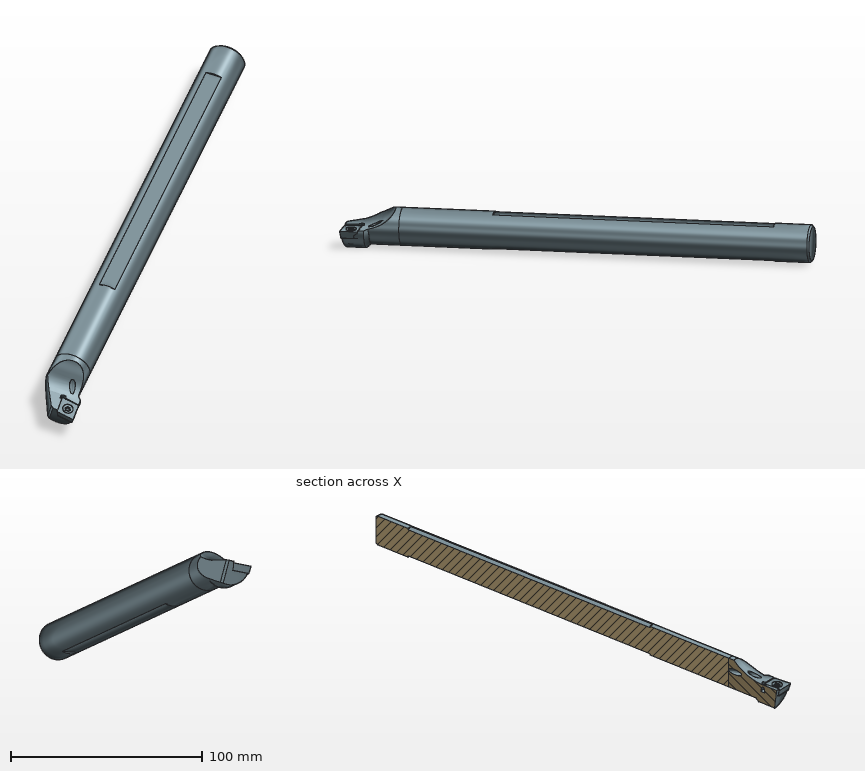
import cadquery as cq
import math

shank_diameter = 20.0
shank_radius = shank_diameter / 2
overall_length = 250.12
head_length = 31.1
shank_length = overall_length - head_length
rear_chamfer = 1.0

flat_spacing = 18.0
flat_length = 150.0
flat_rear_margin = 20.0

tip_lean = 8.5
overhang = 13.03

insert_inscribed = 9.525
insert_thickness = 3.97
insert_corner_angle = 80.0
insert_clearance = 7.0
insert_nose_radius = 0.4
nose_direction = -45.0
insert_approach = 5.0
insert_top = 0.4
insert_hole = 4.4

screw_head = 5.5
screw_thread = 4.0
screw_recess = 0.3
screw_cone_depth = 1.6
screw_length = 7.5
socket_core = 2.2
socket_lobe = 0.8
socket_depth = 1.2
socket_lobes = 6

bulge_x = 2.0
bulge_z = -1.66
bulge_length = 15.0
bulge_chamfer = 2.3

land_top = 1.4
land_lean = 11.0
scoop_radius = 25.0
scoop_yaw = 7.0
scoop_start_y = 11.1
scoop_start_angle = 5.5
scoop_end_angle = 57.0
land_end_x = 5.5

relief_angle = 29.3
relief_front_x = -0.1
bevel_width = 0.9
face_setback = 0.35
corner_relief_diameter = 3.0

coolant_diameter = 3.0
coolant_overrun = 1.3
coolant_mouth = (5.4, 17.8, 1.9)

cut_size = 60.0

half_corner = math.radians(insert_corner_angle / 2)
inscribed_radius = insert_inscribed / 2
half_long = inscribed_radius / math.sin(half_corner)
half_short = inscribed_radius / math.cos(half_corner)
nose_reach = (inscribed_radius - insert_nose_radius) / math.sin(half_corner)
nose_centre = nose_reach * math.cos(math.radians(nose_direction))
nose_offset = nose_centre + insert_nose_radius
lean = math.radians(tip_lean)
front_corner_y = face_setback + (overhang - relief_front_x) * math.tan(math.radians(insert_approach))
insert_x = (overhang - insert_top * math.sin(lean)) / math.cos(lean) - nose_offset
insert_y = nose_offset


def lean_over(shape, angle=tip_lean):
    """Lean a shape about the Y axis so that its +X side drops."""
    return shape.rotate((0, 0, 0), (0, 1, 0), angle)


def cylinder_along_y(diameter, length, x=0.0, y=0.0, z=0.0):
    plane = cq.Plane(origin=(x, y, z), xDir=(1, 0, 0), normal=(0, 1, 0))
    return cq.Workplane(plane).circle(diameter / 2).extrude(length)


def upright(diameter, bottom, height, x=insert_x, y=insert_y):
    return cq.Workplane("XY", origin=(x, y, bottom)).circle(diameter / 2).extrude(height)


def insert_blank():
    """Insert without its hole, standing straight; the acute nose points to +X and -Y."""
    corners = [(half_long, 0), (0, half_short), (-half_long, 0), (0, -half_short)]
    blank = cq.Workplane("XY").polyline(corners).close()
    blank = blank.extrude(-insert_thickness, taper=insert_clearance)
    blank = blank.faces("not |Z").edges("not (>Z or <Z)").fillet(insert_nose_radius)
    return blank.rotate((0, 0, 0), (0, 0, 1), nose_direction).translate((insert_x, insert_y, insert_top))


def screw_blank():
    """Screw without its socket: a conical head on a plain shaft."""
    top = insert_top - screw_recess
    cone_end = top - screw_cone_depth
    outline = [
        (0, top),
        (screw_head / 2, top),
        (screw_thread / 2, cone_end),
        (screw_thread / 2, top - screw_length),
        (0, top - screw_length),
    ]
    return (
        cq.Workplane("XZ")
        .polyline(outline)
        .close()
        .revolve(360, (0, 0, 0), (0, 1, 0))
        .translate((insert_x, insert_y, 0))
    )


def make_shank():
    shank = cylinder_along_y(shank_diameter, shank_length, y=head_length)
    shank = shank.faces(">Y").chamfer(rear_chamfer)
    flat_y = overall_length - flat_rear_margin - flat_length / 2
    for side in (1, -1):
        slab = cq.Workplane("XY").box(shank_diameter, flat_length, shank_radius)
        shank = shank.cut(slab.translate((0, flat_y, side * (flat_spacing + shank_radius) / 2)))
    return shank


def land_and_scoop_cutter(start_angle, first_x, last_x):
    """Space above the flat land and above the concave scoop that climbs from it to the shank.

    The land meets the scoop arc where the arc has turned by `start_angle` from its lowest point.
    """
    lowest_y = scoop_start_y - scoop_radius * math.sin(math.radians(scoop_start_angle))
    centre_z = land_top + scoop_radius * math.cos(math.radians(scoop_start_angle))

    def on_arc(angle):
        turn = math.radians(angle)
        return (lowest_y + scoop_radius * math.sin(turn), centre_z - scoop_radius * math.cos(turn))

    scoop_start = on_arc(start_angle)
    scoop_middle = on_arc((start_angle + scoop_end_angle) / 2)
    scoop_end = on_arc(scoop_end_angle)
    profile = (
        cq.Workplane("YZ", origin=(first_x, 0, 0))
        .moveTo(-cut_size, scoop_start[1])
        .lineTo(*scoop_start)
        .threePointArc(scoop_middle, scoop_end)
        .lineTo(-cut_size, scoop_end[1])
        .close()
        .extrude(last_x - first_x)
    )
    return lean_over(profile.rotate((0, 0, 0), (0, 0, 1), scoop_yaw), land_lean)


def relief_cutter():
    """Block beyond the slanted relief plane."""
    block = cq.Workplane("XY").box(cut_size, 2 * cut_size, cut_size).translate((-cut_size / 2, 0, 0))
    block = block.rotate((0, 0, 0), (0, 0, 1), relief_angle)
    return lean_over(block.translate((relief_front_x, front_corner_y, 0)))


def front_cutter():
    """Block ahead of the front face, which follows the insert's front edge and clearance."""
    block = cq.Workplane("XY").box(2 * cut_size, cut_size, cut_size).translate((0, -cut_size / 2, 0))
    block = block.rotate((0, 0, 0), (1, 0, 0), insert_clearance)
    block = block.rotate((0, 0, 0), (0, 0, 1), -insert_approach)
    return lean_over(block.translate((overhang, face_setback, insert_top)))


def coolant_cutter():
    start = cq.Vector(0, head_length, coolant_mouth[2])
    mouth = cq.Vector(*coolant_mouth)
    run = (mouth - start) * coolant_overrun
    plane = cq.Plane(origin=start.toTuple(), normal=run.toTuple())
    return cq.Workplane(plane).circle(coolant_diameter / 2).extrude(run.Length)


def make_head():
    head = cylinder_along_y(shank_diameter, head_length)
    bulge = cylinder_along_y(shank_diameter, bulge_length, bulge_x, 0, bulge_z)
    head = head.union(bulge.faces(">Y").chamfer(bulge_chamfer))
    head = head.cut(front_cutter()).cut(relief_cutter())
    corner_point = lean_over(cq.Workplane(cq.Vertex.makeVertex(relief_front_x, front_corner_y, bulge_z)))
    corner_edge = cq.selectors.NearestToPointSelector(corner_point.val().toTuple())
    head = head.edges(corner_edge).chamfer(bevel_width)
    head = head.cut(land_and_scoop_cutter(scoop_start_angle, -cut_size / 2, land_end_x))
    head = head.cut(land_and_scoop_cutter(0, land_end_x, cut_size / 2))
    pocket = insert_blank()
    seat = insert_top - insert_thickness
    corner_x = insert_x - nose_centre
    corner_y = insert_y + nose_centre
    corner = upright(corner_relief_diameter, seat, cut_size, corner_x, corner_y)
    above = pocket.faces(">Z").wires().toPending().workplane().extrude(cut_size, combine=False)
    for cutter in (pocket, above, corner, screw_blank()):
        head = head.cut(lean_over(cutter))
    return head.cut(coolant_cutter())


def make_insert():
    bore = upright(insert_hole, insert_top - insert_thickness, insert_thickness)
    counterbore = upright(screw_head, insert_top - screw_recess, screw_recess)
    return lean_over(insert_blank().cut(bore).cut(counterbore).cut(screw_blank()))


def make_screw():
    socket_bottom = insert_top - screw_recess - socket_depth
    screw = screw_blank().cut(upright(socket_core, socket_bottom, socket_depth))
    for lobe in range(socket_lobes):
        turn = 2 * math.pi * lobe / socket_lobes
        x = insert_x + socket_core / 2 * math.cos(turn)
        y = insert_y + socket_core / 2 * math.sin(turn)
        screw = screw.cut(upright(socket_lobe, socket_bottom, socket_depth, x, y))
    return lean_over(screw)


shank = make_shank()
head = make_head()
insert = make_insert()
screw = make_screw()
result = cq.Compound.makeCompound([shank.val(), head.val(), insert.val(), screw.val()])